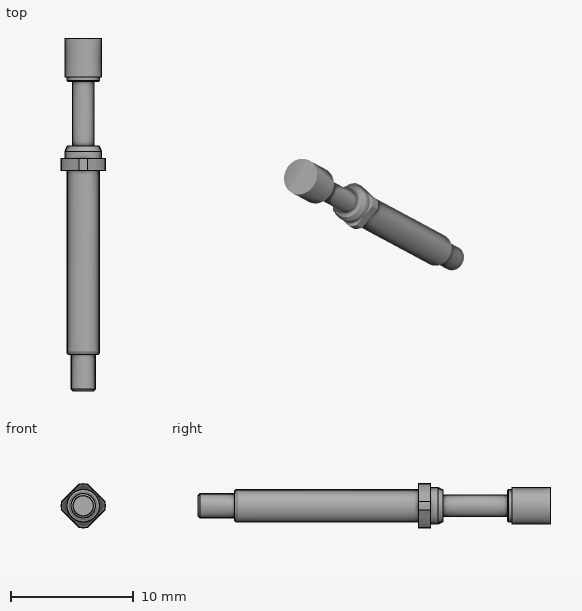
import cadquery as cq

overall_length = 28.8
body_length = 15.0
tail_length = 3.0
flange_thickness = 1.0
collar_length = 1.0
collar_taper_length = 0.43
head_length = 3.17
head_step_length = 0.35

head_diameter = 3.0
head_step_diameter = 2.68
neck_diameter = 1.8
collar_diameter = head_diameter
collar_tip_diameter = 2.6
flange_diameter = 3.6
body_diameter = 2.65
tail_diameter = 2.0

flange_across_flats = 3.0
head_step_chamfer = 0.1
body_fillet = 0.2
tail_chamfer = 0.17

head_end = overall_length - body_length - tail_length
head_start = head_end - head_length
head_step_start = head_start - head_step_length
collar_end = flange_thickness + collar_length


def cylinder(diameter, start, end):
    """Solid cylinder around the Y axis, from start to end along Y."""
    return cq.Workplane("XZ", origin=(0, start, 0)).circle(diameter / 2).extrude(start - end)


def make_head():
    """Plunger head with a narrower, chamfered step facing the neck."""
    step = cylinder(head_step_diameter, head_step_start, head_start)
    step = step.faces("<Y").chamfer(head_step_chamfer)
    return cylinder(head_diameter, head_start, head_end).union(step)


def make_collar():
    """Collar behind the flange, tapering towards the neck."""
    taper_depth = (collar_diameter - collar_tip_diameter) / 2
    collar = cylinder(collar_diameter, flange_thickness, collar_end)
    return collar.faces(">Y").chamfer(collar_taper_length, taper_depth)


def make_flange():
    """Round flange with four flats, turned so that its corners point along X and Z."""
    square = cq.Workplane("XY").box(flange_across_flats, flange_thickness, flange_across_flats)
    square = square.rotate((0, 0, 0), (0, 1, 0), 45).translate((0, flange_thickness / 2, 0))
    return cylinder(flange_diameter, 0, flange_thickness).intersect(square)


def make_body():
    """Long barrel with a rounded end, and the chamfered tail pin beyond it."""
    barrel = cylinder(body_diameter, -body_length, 0)
    barrel = barrel.faces("<Y").edges().fillet(body_fillet)
    tail = cylinder(tail_diameter, -body_length - tail_length, -body_length)
    tail = tail.faces("<Y").chamfer(tail_chamfer)
    return barrel.union(tail)


neck = cylinder(neck_diameter, collar_end, head_step_start)

result = make_body().union(make_flange()).union(make_collar()).union(neck).union(make_head())